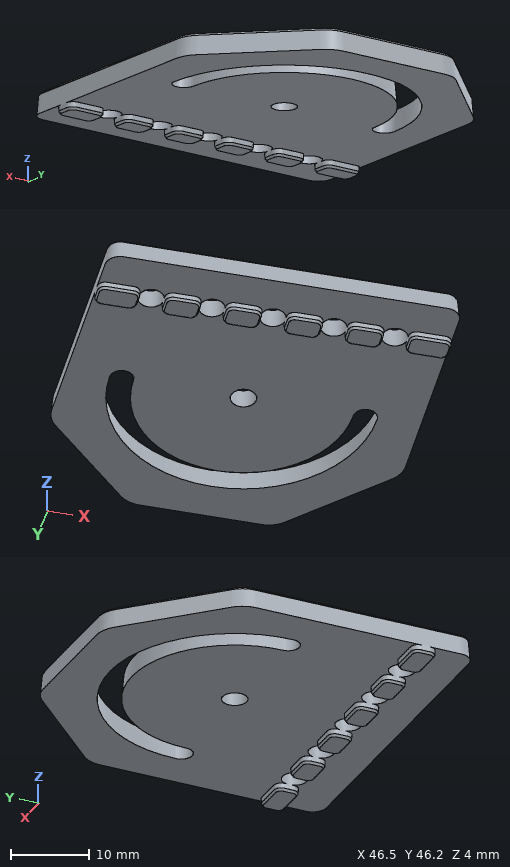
import cadquery as cq
import math

plate_thickness = 3.0
plate_width = 46.5
back_edge_y = 23.25
front_edge_y = -23.0
corner_cut = 13.6
cut_corner_radius = 4.0
front_corner_radius = 2.0

draft_angle = 5.0
edge_chamfer_height = 0.33
edge_chamfer_inset = 0.2

hole_top_diameter = 3.9
hole_pitch = 8.0
holes_in_row = 5
row_y = -2 * hole_pitch

slot_radius = 2 * hole_pitch
slot_top_width = 3.62
groove_radius = hole_pitch
groove_width = 2.5
groove_wall_angle = 30.0

foot_height = 1.0
foot_gap = 3.25
foot_width = 3.4
foot_corner_radius = 1.05

half_width = plate_width / 2
side_end_y = back_edge_y - corner_cut


def plate():
    """Tapered plate with two cut back corners, rounded corners and a chamfered top edge."""
    back_end_x = half_width - corner_cut
    outline = [
        (-half_width, front_edge_y),
        (half_width, front_edge_y),
        (half_width, side_end_y),
        (back_end_x, back_edge_y),
        (-back_end_x, back_edge_y),
        (-half_width, side_end_y),
    ]
    prism = cq.Workplane("XY").polyline(outline).close().extrude(plate_thickness)
    prism = prism.faces("<Y").edges("|Z").fillet(front_corner_radius)
    cut_corners = cq.selectors.BoxSelector(
        (-plate_width, side_end_y / 2, 0),
        (plate_width, 2 * back_edge_y, plate_thickness),
    )
    prism = prism.edges("|Z").edges(cut_corners).fillet(cut_corner_radius)
    base = prism.faces("<Z").wires().toPending()
    tapered = base.extrude(plate_thickness, combine=False, taper=draft_angle)
    return tapered.faces(">Z").chamfer(edge_chamfer_height, edge_chamfer_inset)


def tapered_hole(x, y):
    """Cutter for a hole from the plate's top down to the level of the feet."""
    hole_depth = plate_thickness + foot_height
    top = cq.Workplane("XY", origin=(x, y, plate_thickness))
    return top.circle(hole_top_diameter / 2).extrude(-hole_depth, taper=draft_angle)


def arc_slot():
    """Cutter for the round-ended slot through the plate, narrowing downwards."""
    outer_radius = slot_radius + slot_top_width / 2
    inner_radius = slot_radius - slot_top_width / 2
    end_y = -slot_top_width / 2
    opening = (
        cq.Workplane("XY", origin=(0, 0, plate_thickness))
        .moveTo(outer_radius, 0)
        .threePointArc((0, outer_radius), (-outer_radius, 0))
        .threePointArc((-slot_radius, end_y), (-inner_radius, 0))
        .threePointArc((0, inner_radius), (inner_radius, 0))
        .threePointArc((slot_radius, end_y), (outer_radius, 0))
        .close()
    )
    return opening.extrude(-plate_thickness, taper=draft_angle)


def arc_groove():
    """Cutter for the V groove in the plate's top face, with conical ends."""
    half_groove = groove_width / 2
    groove_depth = half_groove * math.tan(math.radians(groove_wall_angle))
    bottom_z = plate_thickness - groove_depth
    profile = [
        (groove_radius - half_groove, plate_thickness),
        (groove_radius, bottom_z),
        (groove_radius + half_groove, plate_thickness),
    ]
    groove = cq.Workplane("XZ").polyline(profile).close().revolve(180, (0, 0, 0), (0, 1, 0))
    for end_x in (-groove_radius, groove_radius):
        tip = cq.Vector(end_x, 0, bottom_z)
        cone = cq.Solid.makeCone(0, half_groove, groove_depth, tip)
        groove = groove.union(cq.Workplane(cone))
    return groove


def foot(start_x, end_x):
    """Rounded, tapered foot under the plate with a chamfered lower edge."""
    center_x = (start_x + end_x) / 2
    base = cq.Sketch().rect(end_x - start_x, foot_width).vertices().fillet(foot_corner_radius)
    underside = cq.Workplane("XY", origin=(center_x, row_y, 0))
    block = underside.placeSketch(base).extrude(-foot_height, taper=draft_angle)
    return block.faces("<Z").chamfer(edge_chamfer_height, edge_chamfer_inset)


first_hole_x = -hole_pitch * (holes_in_row - 1) / 2
row_x = [first_hole_x + hole_pitch * i for i in range(holes_in_row)]

result = plate()

foot_starts = [-half_width] + [x + foot_gap / 2 for x in row_x]
foot_ends = [x - foot_gap / 2 for x in row_x] + [half_width]
for start_x, end_x in zip(foot_starts, foot_ends):
    result = result.union(foot(start_x, end_x))

result = result.cut(tapered_hole(0, 0))
for x in row_x:
    result = result.cut(tapered_hole(x, row_y))

result = result.cut(arc_slot())
result = result.cut(arc_groove())